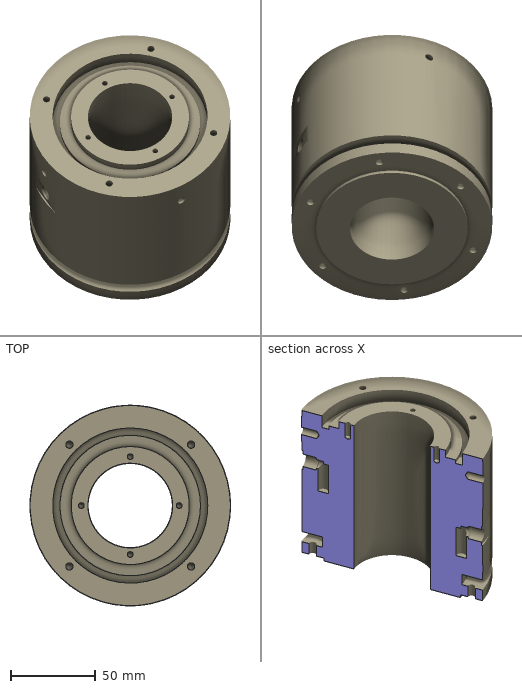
import cadquery as cq
import math

total_height = 105.0
spigot_height = 2.0
flange_height = 8.0
gap_height = 7.0
flange_top = spigot_height + flange_height
housing_bottom = flange_top + gap_height

outer_diameter = 119.0
spigot_diameter = 90.0
neck_diameter = 92.1
bore_diameter = 50.0

recess_diameter = 92.0
recess_depth = 8.5
step_diameter = 83.3
step_depth = 6.0
ring_diameter = 70.0
ring_depth = 1.0

drill_point_angle = 118.0
blind_depth = 10.0
quarter_count = 4
rim_hole_diameter = 4.3
rim_circle_radius = 51.0
rim_first_angle = 45
ring_hole_diameter = 3.3
ring_circle_radius = 29.0
flange_hole_diameter = 4.5
flange_hole_count = 6
flange_circle_radius = 52.0
flange_first_angle = 30
side_hole_diameter = 5.0
side_hole_drop = 15.0

flat_depth = 1.0
flat_height = 13.5
front_port_drop = 36.0
back_port_drop = 56.0
port_diameter = 8.7
port_depth = 8.3
link_diameter = 5.8
passage_diameter = 6.4
passage_radius = 45.2
passage_rise = 1.2
passage_length = 20.2

outer_radius = outer_diameter / 2


def disc(diameter, bottom, top):
    """Cylinder on the Z axis between two heights."""
    return cq.Workplane("XY").workplane(offset=bottom).circle(diameter / 2).extrude(top - bottom)


def drill(diameter, depth, start, direction):
    """Drill-shaped cutter with a conical point beyond the full-diameter depth."""
    radius = diameter / 2
    point_length = radius / math.tan(math.radians(drill_point_angle / 2))
    start = cq.Vector(*start)
    direction = cq.Vector(*direction)
    shank = cq.Solid.makeCylinder(radius, depth, start, direction)
    point = cq.Solid.makeCone(radius, 0, point_length, start + direction * depth, direction)
    return cq.Workplane(shank.fuse(point))


def spread(cutter, count, first_angle):
    """Copies of a cutter spaced evenly about the Z axis."""
    copies = cq.Workplane()
    for index in range(count):
        angle = first_angle + index * 360 / count
        copies = copies.add(cutter.rotate((0, 0, 0), (0, 0, 1), angle))
    return copies.combine()


def port(drop):
    """Flat, pointed drilling, link bore and vertical passage for a port on the -Y side."""
    axis_height = total_height - drop
    flat_y = -outer_radius + flat_depth
    flat = cq.Workplane("XY").box(outer_diameter, flat_depth, flat_height)
    flat = flat.translate((0, flat_y - flat_depth / 2, axis_height))
    inward = cq.Vector(0, 1, 0)
    mouth = drill(port_diameter, port_depth, (0, flat_y, axis_height), inward.toTuple())
    link_length = -passage_radius - flat_y
    link_start = cq.Vector(0, flat_y, axis_height)
    link = cq.Solid.makeCylinder(link_diameter / 2, link_length, link_start, inward)
    passage_top = axis_height + passage_rise
    passage = disc(passage_diameter, passage_top - passage_length, passage_top)
    passage = passage.translate((0, -passage_radius, 0))
    return flat.union(mouth).union(cq.Workplane(link)).union(passage)


body = disc(spigot_diameter, 0, spigot_height)
body = body.union(disc(outer_diameter, spigot_height, flange_top))
body = body.union(disc(neck_diameter, flange_top, housing_bottom))
body = body.union(disc(outer_diameter, housing_bottom, total_height))

recess_floor = total_height - recess_depth
body = body.cut(disc(recess_diameter, recess_floor, total_height))
body = body.union(disc(step_diameter, recess_floor, total_height - step_depth))
body = body.union(disc(ring_diameter, recess_floor, total_height - ring_depth))
body = body.cut(disc(bore_diameter, 0, total_height))

down = (0, 0, -1)
rim_hole = drill(rim_hole_diameter, blind_depth, (rim_circle_radius, 0, total_height), down)
body = body.cut(spread(rim_hole, quarter_count, rim_first_angle))
ring_hole = drill(ring_hole_diameter, blind_depth, (ring_circle_radius, 0, total_height - ring_depth), down)
body = body.cut(spread(ring_hole, quarter_count, 0))

flange_hole = disc(flange_hole_diameter, spigot_height, flange_top).translate((flange_circle_radius, 0, 0))
body = body.cut(spread(flange_hole, flange_hole_count, flange_first_angle))

side_hole_start = (outer_radius, 0, total_height - side_hole_drop)
side_hole = drill(side_hole_diameter, blind_depth, side_hole_start, (-1, 0, 0))
body = body.cut(spread(side_hole, quarter_count, 0))

body = body.cut(port(front_port_drop))
body = body.cut(port(back_port_drop).rotate((0, 0, 0), (0, 0, 1), 180))

result = body